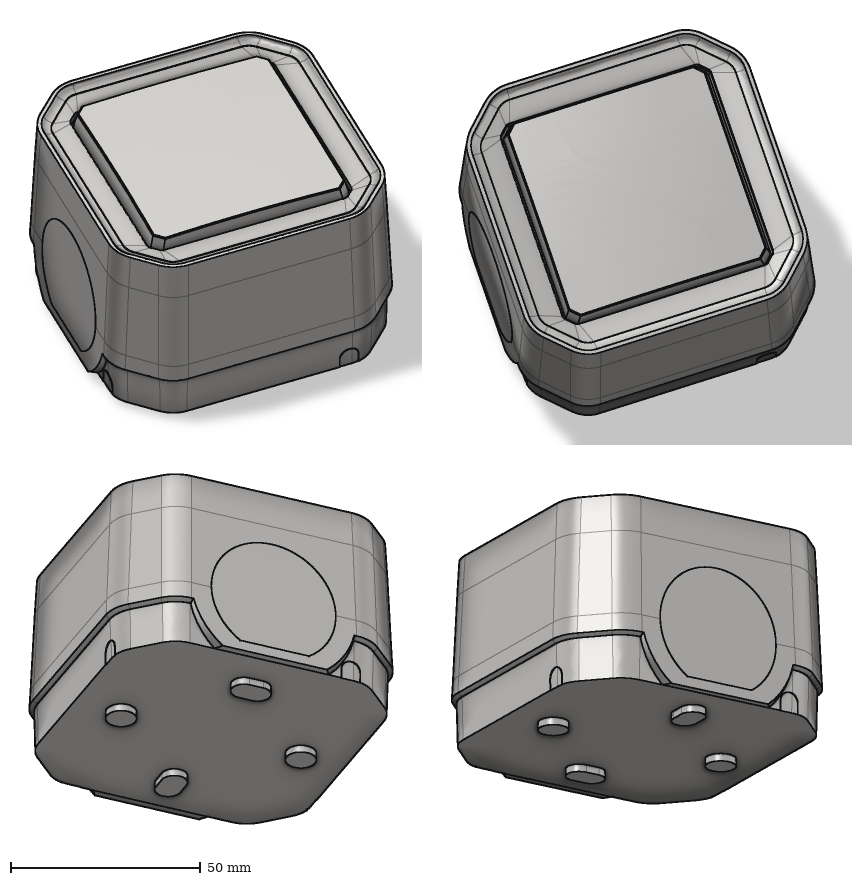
import cadquery as cq
import math

FOOT_HEIGHT = 2.1
BASE_TOP = 12.1
SKIRT_EDGE = 13.0
WAIST = 18.0
SHOULDER = 41.7
RIM_TOP = 52.0
ROCKER_PEAK = 54.05

BASE_HALF_BOTTOM = 39.5
BASE_HALF_TOP = 39.8
SKIRT_HALF = 82.09 / 2
SHIELD_HALF = 83.45 / 2
LOWER_SLOPE = (SHIELD_HALF - SKIRT_HALF) / SKIRT_EDGE
MIDDLE_SLOPE = math.tan(math.radians(2.5))
UPPER_SLOPE = math.tan(math.radians(3.0))
WAIST_HALF = SKIRT_HALF - LOWER_SLOPE * (WAIST - SKIRT_EDGE)
SHOULDER_HALF = WAIST_HALF - MIDDLE_SLOPE * (SHOULDER - WAIST)
RIM_HALF = SHOULDER_HALF - UPPER_SLOPE * (RIM_TOP - SHOULDER)
CORNER_REACH = 7.92
CORNER_RADIUS = 10.4
BASE_CORNER_RADIUS = 9.3

RIM_WIDTH = 1.2
COVE_OUTER_HALF = RIM_HALF - RIM_WIDTH
COVE_INNER_HALF = 35.4
COVE_BOTTOM = 50.6
COVE_OUTER_RADIUS = 8.0
COVE_INNER_RADIUS = 5.0
COVE_SECTIONS = 4
FLOOR_EDGE_DROP = 0.2
OPENING_HALF = 29.3
OPENING_CORNER_REACH = 10.2
OPENING_CORNER_RADIUS = 1.5
OPENING_EDGE = 50.0
POCKET_FLOOR = 48.0

ROCKER_HALF_BOTTOM = (28.75, 28.6)
ROCKER_HALF_TOP = (28.0, 27.25)
ROCKER_CHAMFER = 2.5
ROCKER_DOME_RADIUS = 610.0
ROCKER_EDGE_BREAK = 0.25

ENTRY_RADIUS = 18.0
ENTRY_FLAT = 3.0
ENTRY_BACK = 38.0
SHIELD_RADIUS_INNER = 24.45
SHIELD_RADIUS_OUTER = 23.35
SHIELD_INNER_Y = BASE_HALF_BOTTOM
SHIELD_OUTER_Y = 42.0

DRAIN_OFFSET = 23.0
DRAIN_RADIUS = 2.75
DRAIN_TOP = 5.6
DRAIN_DEPTH = 0.15

FOOT_REACH = 26.0
ROUND_FOOT_DIAMETER = 8.2
SLOT_FOOT_LENGTH = 11.05
SLOT_FOOT_WIDTH = 7.1


def eight_sides(z, half, short):
    """Sharp rectangle with cut corners: half sizes, and half lengths left on the sides."""
    half_x, half_y = half
    short_x, short_y = short
    points = [
        (half_x, -short_y), (half_x, short_y), (short_x, half_y), (-short_x, half_y),
        (-half_x, short_y), (-half_x, -short_y), (-short_x, -half_y), (short_x, -half_y),
    ]
    return cq.Wire.makePolygon([cq.Vector(x, y, z) for x, y in points], close=True)


def octagon(z, half, reach, radius):
    """Eight-sided outline at height z, with every corner rounded."""
    short = math.sqrt(2) * (half + reach) - half
    wire = eight_sides(z, (half, half), (short, short))
    return wire.fillet2D(radius, wire.Vertices())


def body_outline(z, half, radius=CORNER_RADIUS):
    return octagon(z, half, CORNER_REACH, radius)


def loft(sections, ruled=True):
    return cq.Workplane(cq.Solid.makeLoft(sections, ruled))


def stacked(sections):
    """Ruled stack of outlines, one segment between each neighbouring pair."""
    body = loft(sections[:2])
    for lower, upper in zip(sections[1:], sections[2:]):
        body = body.union(loft([lower, upper]))
    return body


def side_prism(points):
    """Prism along X of a (y, z) profile, wider than the part."""
    return cq.Workplane("YZ").polyline(points).close().extrude(2 * SKIRT_HALF, both=True)


def both_entry_sides(front):
    return [front, front.rotate((0, 0, 0), (0, 0, 1), 180)]


def base_block(inset=0.0):
    outline = body_outline(0, BASE_HALF_BOTTOM - inset, BASE_CORNER_RADIUS - inset)
    flare = math.degrees(math.atan((BASE_HALF_TOP - BASE_HALF_BOTTOM) / BASE_TOP))
    return cq.Workplane(cq.Solid.extrudeLinear(outline, [], cq.Vector(0, 0, BASE_TOP), -flare))


base_blank = base_block()


def housing_shell():
    """Drafted walls and the bevelled skirt edge under them."""
    return stacked([
        body_outline(BASE_TOP, BASE_HALF_TOP),
        body_outline(SKIRT_EDGE, SKIRT_HALF),
        body_outline(WAIST, WAIST_HALF),
        body_outline(SHOULDER, SHOULDER_HALF),
        body_outline(RIM_TOP, RIM_HALF),
    ])


def shield():
    """Bevelled skirt around the -Y entry, hanging over the base wall."""
    cone = cq.Solid.makeCone(
        SHIELD_RADIUS_INNER, SHIELD_RADIUS_OUTER, SHIELD_OUTER_Y - SHIELD_INNER_Y,
        pnt=cq.Vector(0, -SHIELD_INNER_Y, WAIST), dir=cq.Vector(0, -1, 0),
    )
    below_skirt = side_prism([
        (0, 0), (-SHIELD_HALF, 0), (-SKIRT_HALF, SKIRT_EDGE), (0, SKIRT_EDGE),
    ])
    return below_skirt.intersect(cq.Workplane(cone)).cut(base_blank)


def dish():
    """Hollow in the top: concave cove, sloping floor and the rocker pocket."""
    cove_sections = []
    for i in range(COVE_SECTIONS):
        angle = math.pi / 2 * i / (COVE_SECTIONS - 1)
        inward = 1 - math.cos(angle)
        cove_sections.append(octagon(
            RIM_TOP - (RIM_TOP - COVE_BOTTOM) * math.sin(angle),
            COVE_OUTER_HALF - (COVE_OUTER_HALF - COVE_INNER_HALF) * inward,
            CORNER_REACH,
            COVE_OUTER_RADIUS - (COVE_OUTER_RADIUS - COVE_INNER_RADIUS) * inward,
        ))
    cove = loft(cove_sections, ruled=False)

    floor_top = octagon(COVE_BOTTOM, COVE_INNER_HALF, CORNER_REACH, COVE_INNER_RADIUS)
    floor_edge = floor_top.translate(cq.Vector(0, 0, -FLOOR_EDGE_DROP))
    opening = octagon(OPENING_EDGE, OPENING_HALF, OPENING_CORNER_REACH, OPENING_CORNER_RADIUS)
    pocket_end = opening.translate(cq.Vector(0, 0, POCKET_FLOOR - OPENING_EDGE))
    return stacked([pocket_end, opening, floor_edge, floor_top]).union(cove)


def entry_hole():
    """Round hole with a flat bottom, through the -Y wall."""
    depth = SHIELD_OUTER_Y - ENTRY_BACK
    disc = cq.Solid.makeCylinder(
        ENTRY_RADIUS, depth, pnt=cq.Vector(0, -ENTRY_BACK, WAIST), dir=cq.Vector(0, -1, 0)
    )
    top = WAIST + ENTRY_RADIUS
    above_flat = side_prism([
        (0, ENTRY_FLAT), (-SHIELD_OUTER_Y, ENTRY_FLAT), (-SHIELD_OUTER_Y, top), (0, top),
    ])
    return above_flat.intersect(cq.Workplane(disc))


housing = housing_shell()
for side_shield in both_entry_sides(shield()):
    housing = housing.union(side_shield)
housing = housing.cut(dish())
for hole in both_entry_sides(entry_hole()):
    housing = housing.cut(hole)


def feet():
    """Round feet on the X axis, and two slot-shaped feet at right angles on the Y axis."""
    round_feet = (
        cq.Workplane("XY")
        .pushPoints([(-FOOT_REACH, 0), (FOOT_REACH, 0)])
        .circle(ROUND_FOOT_DIAMETER / 2)
        .extrude(-FOOT_HEIGHT)
    )
    slot_feet = [
        cq.Workplane("XY", origin=(0, y, 0))
        .slot2D(SLOT_FOOT_LENGTH, SLOT_FOOT_WIDTH, angle)
        .extrude(-FOOT_HEIGHT)
        for y, angle in ((-FOOT_REACH, 0), (FOOT_REACH, 90))
    ]
    return [round_feet, *slot_feet]


def drain_mark():
    """Shallow round-topped recess in the -Y wall of the base, following the wall's shape."""
    spring = DRAIN_TOP - DRAIN_RADIUS
    arch = (
        cq.Workplane("XZ", origin=(DRAIN_OFFSET, 0, 0))
        .moveTo(-DRAIN_RADIUS, 0)
        .lineTo(-DRAIN_RADIUS, spring)
        .threePointArc((0, DRAIN_TOP), (DRAIN_RADIUS, spring))
        .lineTo(DRAIN_RADIUS, 0)
        .close()
        .extrude(BASE_HALF_TOP)
    )
    return arch.cut(base_block(inset=DRAIN_DEPTH))


base = base_blank
for hole in both_entry_sides(entry_hole()):
    base = base.cut(hole)
drain = drain_mark()
for quarter in range(4):
    base = base.cut(drain.rotate((0, 0, 0), (0, 0, 1), 90 * quarter))
for foot in feet():
    base = base.union(foot)


def entry_plug():
    top = WAIST + ENTRY_RADIUS
    face_bottom = SHIELD_HALF - LOWER_SLOPE * ENTRY_FLAT
    face_top = WAIST_HALF - MIDDLE_SLOPE * ENTRY_RADIUS
    under_face = side_prism([
        (0, ENTRY_FLAT), (-face_bottom, ENTRY_FLAT), (-face_top, top), (0, top),
    ])
    return entry_hole().intersect(under_face)


entry_plugs = both_entry_sides(entry_plug())


def rocker_outline(z, half):
    return eight_sides(z, half, [size - ROCKER_CHAMFER for size in half])


def rocker_body():
    """Tapered cap with cut corners, a domed top and a broken top edge."""
    cap = loft([
        rocker_outline(POCKET_FLOOR, ROCKER_HALF_BOTTOM),
        rocker_outline(ROCKER_PEAK, ROCKER_HALF_TOP),
    ])
    dome = cq.Workplane("XY", origin=(0, 0, ROCKER_PEAK - ROCKER_DOME_RADIUS)).sphere(ROCKER_DOME_RADIUS)
    return cap.intersect(dome).faces(">Z").edges().chamfer(ROCKER_EDGE_BREAK)


rocker = rocker_body()

result = cq.Compound.makeCompound(
    [base.val(), housing.val(), rocker.val(), *[plug.val() for plug in entry_plugs]]
)